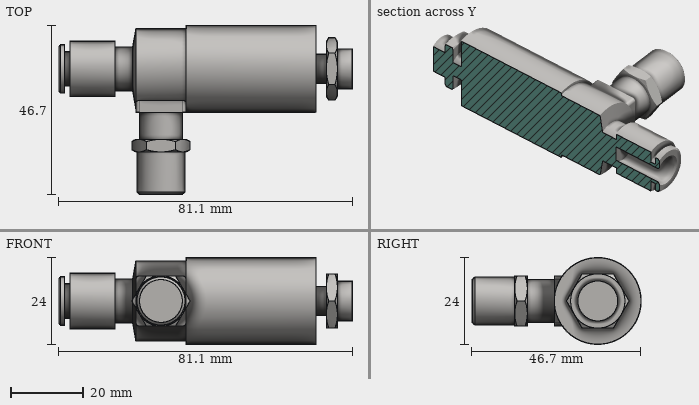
import cadquery as cq
import math

total_length = 81.1

collar_radius = 6.7
collar_end = 1.55
collar_chamfer = 0.5
neck_radius = 4.8
sleeve_start = 3.0
sleeve_radius = 7.7
sleeve_end = 15.5
stem_radius = 6.1
bore_radius = 4.0
bore_mouth_radius = 4.5
bore_depth = sleeve_end

cone_start = 20.35
body_start = 21.25
body_radius = 11.1
barrel_start = 35.1
barrel_radius = 12.0
barrel_end = 71.05

tail_stem_radius = 4.05
tail_nut_start = 73.9
tail_nut_end = 77.0
tail_nut_flats = 15.0
tail_end_radius = 5.5

pad_width = barrel_start - body_start
pad_corner_radius = 1.0
branch_x = (body_start + barrel_start) / 2
pad_reach = barrel_radius
branch_stem_radius = 6.0
branch_nut_start = 19.5
branch_nut_end = 22.95
branch_nut_flats = 13.95
branch_thread_radius = 6.65
branch_reach = 34.7
branch_tip_chamfer = 0.7

nut_chamfer_angle = 30.0


def main_turning():
    """Revolve the stepped outline of everything round on the main axis."""
    outline = [
        (0, 0),
        (0, collar_radius - collar_chamfer),
        (collar_chamfer, collar_radius),
        (collar_end, collar_radius),
        (collar_end, neck_radius),
        (sleeve_start, neck_radius),
        (sleeve_start, sleeve_radius),
        (sleeve_end, sleeve_radius),
        (sleeve_end, stem_radius),
        (cone_start, stem_radius),
        (body_start, body_radius),
        (barrel_start, body_radius),
        (barrel_start, barrel_radius),
        (barrel_end, barrel_radius),
        (barrel_end, tail_stem_radius),
        (tail_nut_start, tail_stem_radius),
        (tail_nut_start, tail_end_radius),
        (total_length, tail_end_radius),
        (total_length, 0),
    ]
    return cq.Workplane("XY").polyline(outline).close().revolve(360, (0, 0, 0), (1, 0, 0))


def port_bore():
    """Blind bore with a countersunk mouth."""
    mouth_depth = bore_mouth_radius - bore_radius
    outline = [
        (0, 0),
        (0, bore_mouth_radius),
        (mouth_depth, bore_radius),
        (bore_depth, bore_radius),
        (bore_depth, 0),
    ]
    return cq.Workplane("XY").polyline(outline).close().revolve(360, (0, 0, 0), (1, 0, 0))


def hex_nut(flats, thickness):
    """Hexagon along +Z with corners on local X, its corners turned down by cones at both ends."""
    corner_radius = flats / math.sqrt(3)
    rim_radius = flats / 2
    drop = (corner_radius - rim_radius) * math.tan(math.radians(nut_chamfer_angle))
    hexagon = cq.Workplane("XY").polygon(6, 2 * corner_radius).extrude(thickness)
    outline = [
        (0, 0),
        (rim_radius, 0),
        (corner_radius, drop),
        (corner_radius, thickness - drop),
        (rim_radius, thickness),
        (0, thickness),
    ]
    turned = cq.Workplane("XZ").polyline(outline).close().revolve(360, (0, 0, 0), (0, 1, 0))
    return hexagon.intersect(turned)


def tail_nut():
    nut = hex_nut(tail_nut_flats, tail_nut_end - tail_nut_start)
    return (
        nut.rotate((0, 0, 0), (0, 0, 1), 90)
        .rotate((0, 0, 0), (0, 1, 0), 90)
        .translate((tail_nut_start, 0, 0))
    )


def branch_cylinder(radius, reach):
    """Cylinder from the main axis out to the given distance toward -Y."""
    return cq.Workplane("XZ").center(branch_x, 0).circle(radius).extrude(reach)


def branch():
    pad = (
        cq.Workplane("XZ").center(branch_x, 0)
        .rect(pad_width, pad_width).extrude(pad_reach)
        .edges("|Y").fillet(pad_corner_radius)
    )
    stem = branch_cylinder(branch_stem_radius, branch_nut_end)
    nut = (
        hex_nut(branch_nut_flats, branch_nut_end - branch_nut_start)
        .rotate((0, 0, 0), (1, 0, 0), 90)
        .translate((branch_x, -branch_nut_start, 0))
    )
    thread = (
        cq.Workplane("XZ", origin=(branch_x, -branch_nut_end, 0))
        .circle(branch_thread_radius).extrude(branch_reach - branch_nut_end)
        .faces("<Y").chamfer(branch_tip_chamfer)
    )
    return pad.union(stem).union(nut).union(thread)


result = main_turning().union(tail_nut()).union(branch()).cut(port_bore())